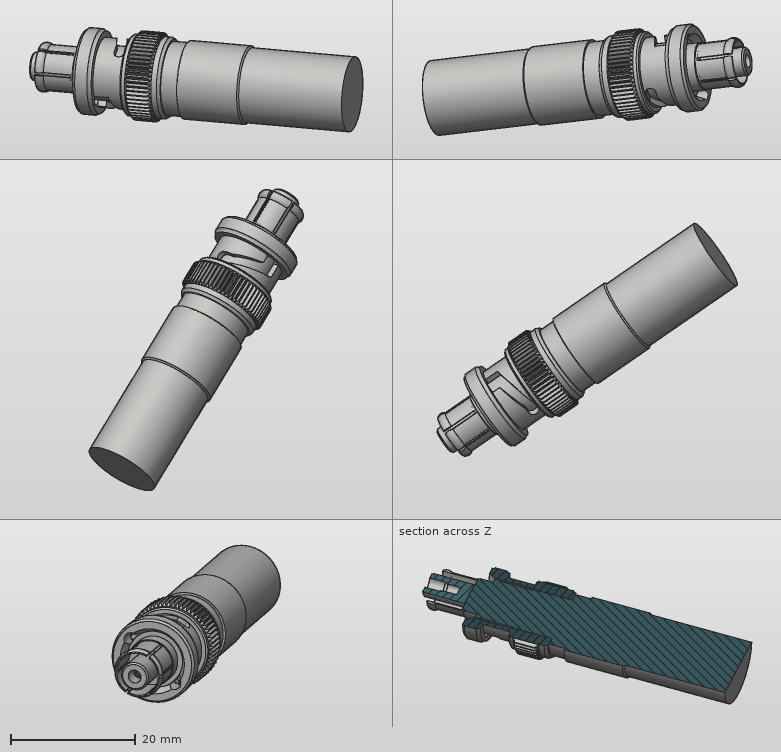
import cadquery as cq
import math


INSULATOR_DIA = 4.6
INSULATOR_CHAMFER = 0.25
SOCKET_MOUTH_DIA = 2.15
SOCKET_MOUTH_DEPTH = 2.7
SOCKET_STEP_DIA = 1.9
SOCKET_STEP_DEPTH = 3.2
SOCKET_DIA = 1.6
SOCKET_DEPTH = 5.35

COLLET_START = 1.35
COLLET_DIA = 7.5
COLLET_BORE = 7.1
BEAD_LENGTH = 1.5
BEAD_DIA = 8.1
COLLET_BASE_START = 7.65
COLLET_BASE_DIA = 7.8
COLLET_BASE_CHAMFER = 0.1
COLLET_SLOT_COUNT = 6
COLLET_SLOT_WIDTH = 0.5
COLLET_SLOT_END = 7.35

JOURNAL_START = 9.9
JOURNAL_DIA = 9.4
RELIEF_START = 10.7
RELIEF_DIA = 9.0
NECK_DIA = 12.0
GRIP_START = 26.0
GRIP_END = 36.35
GRIP_DIA = 12.75
GRIP_CHAMFER = 0.25
TAIL_DIA = 12.15
TOTAL_LENGTH = 53.6

RING_START = 8.65
RING_END = 11.75
RING_DIA = 14.05
RING_FRONT_COVE = 0.45
RING_REAR_COVE = 0.65
RING_COVE_HEIGHT = 0.3
MOUTH_DIA = 10.95
BARREL_DIA = 11.35
COLLAR_START = 16.45
COLLAR_DIA = 13.3
COLLAR_FRONT_CHAMFER = 0.25
COLLAR_REAR_CHAMFER_LENGTH = 0.55
COLLAR_REAR_CHAMFER_HEIGHT = 0.3
SLEEVE_END = 23.2

KNURL_START = 17.3
KNURL_END = 21.75
KNURL_DIA = 14.5
KNURL_CHAMFER = 0.55
KNURL_COUNT = 60
KNURL_GROOVE_WIDTH = 0.6
KNURL_CLEARANCE = 0.05

BAYONET_COUNT = 2
ENTRY_ANGLE = 41.5
ENTRY_SWEEP = 30.0
ENTRY_END = 14.1
RING_GROOVE_DIA = 2.5
RING_GROOVE_RADIUS = 4.75
TRACK_WIDTH = 1.7
TRACK_START_X = 13.25
TRACK_START_ANGLE = ENTRY_ANGLE - ENTRY_SWEEP / 2
TRACK_SWEEP = 81.0
TRACK_PITCH = 9.4
REST_X = 15.45
REST_ANGLE = 125.0
CUT_MARGIN = 0.25
CUT_INNER_RADIUS = JOURNAL_DIA / 2 - CUT_MARGIN
CUT_OUTER_RADIUS = BARREL_DIA / 2 + CUT_MARGIN


def about_axis(shape, angle):
    return shape.rotate((0, 0, 0), (1, 0, 0), angle)


def rod(start, end, diameter):
    return cq.Workplane("YZ", origin=(start, 0, 0)).circle(diameter / 2).extrude(end - start)


def make_insulator():
    insulator = rod(0, COLLET_SLOT_END, INSULATOR_DIA).faces("<X").chamfer(INSULATOR_CHAMFER)
    insulator = insulator.cut(rod(0, SOCKET_MOUTH_DEPTH, SOCKET_MOUTH_DIA))
    insulator = insulator.cut(rod(0, SOCKET_STEP_DEPTH, SOCKET_STEP_DIA))
    return insulator.cut(rod(0, SOCKET_DEPTH, SOCKET_DIA))


def collet_slots():
    slot = cq.Workplane("XY").box(
        COLLET_SLOT_END - COLLET_START, COLLET_DIA, COLLET_SLOT_WIDTH, centered=(False, False, True)
    ).translate((COLLET_START, 0, 0))
    slots = cq.Workplane("XY")
    for i in range(COLLET_SLOT_COUNT):
        slots = slots.add(about_axis(slot, i * 360 / COLLET_SLOT_COUNT))
    return slots.combine()


def make_main_body():
    outline = (
        cq.Workplane("XY")
        .moveTo(COLLET_START, 0)
        .lineTo(COLLET_START, COLLET_DIA / 2)
        .threePointArc(
            (COLLET_START + BEAD_LENGTH / 2, BEAD_DIA / 2), (COLLET_START + BEAD_LENGTH, COLLET_DIA / 2)
        )
        .lineTo(COLLET_BASE_START, COLLET_DIA / 2)
        .lineTo(COLLET_BASE_START + COLLET_BASE_CHAMFER, COLLET_BASE_DIA / 2)
        .lineTo(JOURNAL_START, COLLET_BASE_DIA / 2)
        .lineTo(JOURNAL_START, JOURNAL_DIA / 2)
        .lineTo(RELIEF_START, JOURNAL_DIA / 2)
        .lineTo(RELIEF_START, RELIEF_DIA / 2)
        .lineTo(COLLAR_START, RELIEF_DIA / 2)
        .lineTo(COLLAR_START, JOURNAL_DIA / 2)
        .lineTo(SLEEVE_END, JOURNAL_DIA / 2)
        .lineTo(SLEEVE_END, NECK_DIA / 2)
        .lineTo(GRIP_START, NECK_DIA / 2)
        .lineTo(GRIP_START, GRIP_DIA / 2)
        .lineTo(GRIP_END - GRIP_CHAMFER, GRIP_DIA / 2)
        .lineTo(GRIP_END, TAIL_DIA / 2)
        .lineTo(TOTAL_LENGTH, TAIL_DIA / 2)
        .lineTo(TOTAL_LENGTH, 0)
        .close()
    )
    body = outline.revolve(360, (0, 0, 0), (1, 0, 0))
    body = body.cut(rod(COLLET_START, COLLET_SLOT_END, COLLET_BORE))
    return body.cut(collet_slots())


def knurl_grooves():
    groove = (
        cq.Workplane("YZ", origin=(KNURL_START, 0, 0))
        .polyline([
            (COLLAR_DIA / 2, 0),
            (KNURL_DIA / 2, -KNURL_GROOVE_WIDTH / 2),
            (KNURL_DIA / 2 + KNURL_CLEARANCE, 0),
            (KNURL_DIA / 2, KNURL_GROOVE_WIDTH / 2),
        ])
        .close()
        .extrude(KNURL_END - KNURL_START)
    )
    grooves = cq.Workplane("XY")
    for i in range(KNURL_COUNT):
        grooves = grooves.add(about_axis(groove, i * 360 / KNURL_COUNT))
    return cq.Compound.makeCompound(grooves.vals())


def track_sector(start_x, end_x, start_angle, sweep):
    sector = (
        cq.Workplane("XY")
        .moveTo(start_x, CUT_INNER_RADIUS)
        .lineTo(end_x, CUT_INNER_RADIUS)
        .lineTo(end_x, CUT_OUTER_RADIUS)
        .lineTo(start_x, CUT_OUTER_RADIUS)
        .close()
        .revolve(sweep, (0, 0, 0), (1, 0, 0))
    )
    return about_axis(sector, start_angle)


def bayonet_track():
    groove = about_axis(
        rod(RING_START, RING_END, RING_GROOVE_DIA).translate((0, RING_GROOVE_RADIUS, 0)), ENTRY_ANGLE
    )
    entry = track_sector(RING_END, ENTRY_END, TRACK_START_ANGLE, ENTRY_SWEEP)
    helix = cq.Wire.makeHelix(TRACK_PITCH, TRACK_PITCH * TRACK_SWEEP / 360, BARREL_DIA / 2)
    ramp = (
        cq.Workplane("XZ")
        .center((CUT_INNER_RADIUS + CUT_OUTER_RADIUS) / 2, 0)
        .rect(CUT_OUTER_RADIUS - CUT_INNER_RADIUS, TRACK_WIDTH)
        .sweep(cq.Workplane(helix), isFrenet=True)
        .rotate((0, 0, 0), (0, 1, 0), 90)
        .translate((TRACK_START_X, 0, 0))
    )
    ramp = about_axis(ramp, 90 + TRACK_START_ANGLE)
    ramp_end_angle = TRACK_START_ANGLE + TRACK_SWEEP
    rest = track_sector(
        REST_X - TRACK_WIDTH / 2, REST_X + TRACK_WIDTH / 2, ramp_end_angle, REST_ANGLE - ramp_end_angle
    )
    rest_end = about_axis(
        cq.Workplane("XZ", origin=(REST_X, 0, 0)).circle(TRACK_WIDTH / 2).extrude(-CUT_OUTER_RADIUS),
        REST_ANGLE,
    )
    return [groove, entry, ramp, rest, rest_end]


def cove_mid_rise(length):
    """Rise, halfway along its length, of a hollow cove that starts parallel to the X axis."""
    radius = (length**2 + RING_COVE_HEIGHT**2) / (2 * RING_COVE_HEIGHT)
    return radius - math.sqrt(radius**2 - (length / 2) ** 2)


def sleeve_blank():
    bore_r = JOURNAL_DIA / 2
    ring_r = RING_DIA / 2
    edge_r = ring_r - RING_COVE_HEIGHT
    collar_r = COLLAR_DIA / 2
    knurl_r = KNURL_DIA / 2
    return (
        cq.Workplane("XY")
        .moveTo(RING_START, MOUTH_DIA / 2)
        .lineTo(RING_START, edge_r)
        .threePointArc(
            (RING_START + RING_FRONT_COVE / 2, edge_r + cove_mid_rise(RING_FRONT_COVE)),
            (RING_START + RING_FRONT_COVE, ring_r),
        )
        .lineTo(RING_END - RING_REAR_COVE, ring_r)
        .threePointArc(
            (RING_END - RING_REAR_COVE / 2, edge_r + cove_mid_rise(RING_REAR_COVE)),
            (RING_END, edge_r),
        )
        .lineTo(RING_END, BARREL_DIA / 2)
        .lineTo(COLLAR_START, BARREL_DIA / 2)
        .lineTo(COLLAR_START, collar_r - COLLAR_FRONT_CHAMFER)
        .lineTo(COLLAR_START + COLLAR_FRONT_CHAMFER, collar_r)
        .lineTo(KNURL_START, collar_r)
        .lineTo(KNURL_START + KNURL_CHAMFER, knurl_r)
        .lineTo(KNURL_END - KNURL_CHAMFER, knurl_r)
        .lineTo(KNURL_END, collar_r)
        .lineTo(SLEEVE_END - COLLAR_REAR_CHAMFER_LENGTH, collar_r)
        .lineTo(SLEEVE_END, collar_r - COLLAR_REAR_CHAMFER_HEIGHT)
        .lineTo(SLEEVE_END, bore_r)
        .lineTo(JOURNAL_START, bore_r)
        .close()
        .revolve(360, (0, 0, 0), (1, 0, 0))
    )


def make_sleeve():
    blank = sleeve_blank()
    sleeve = cq.Workplane(blank.val().cut(knurl_grooves()))
    for cutter in bayonet_track():
        for i in range(BAYONET_COUNT):
            sleeve = sleeve.cut(about_axis(cutter, i * 360 / BAYONET_COUNT))
    return sleeve


insulator = make_insulator()
main_body = make_main_body()
sleeve = make_sleeve()
result = cq.Compound.makeCompound([insulator.val(), main_body.val(), sleeve.val()])